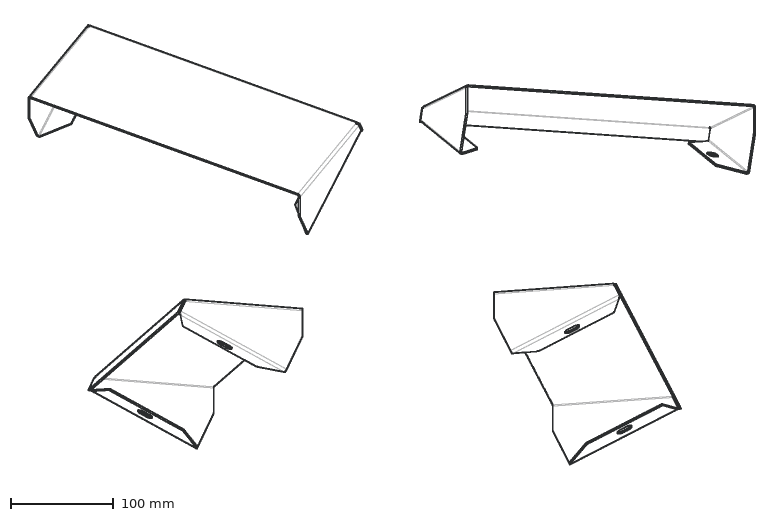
import cadquery as cq
import math


width = 300.8
depth = 127.0
height = 65.5
sheet = 1.8
outer_bend = 2.7
seam = 0.3
tilt = math.radians(25)
lip_drop = 14.5

foot_reach = 26.5
front_trim = foot_reach - outer_bend
rear_trim_start = 4.0
rear_trim_end = 14.5
slot_place = 58.0
slot_length = 15.5
slot_width = 9.0
slot_inset = 16.5

inner_bend = outer_bend - sheet
slope_run = (height - lip_drop) / math.tan(tilt)
slope_length = (height - lip_drop) / math.sin(tilt)
tip_y = depth - slope_run
front_edge_z = -height + tip_y / math.tan(tilt)
lip_top_y = depth - lip_drop * math.tan(tilt)
bend_setback = outer_bend * math.tan((math.pi / 2 - tilt) / 2)


def along_slope(distance, rise=0.0):
    """(Y, Z) at a distance forward of the lip tip and a rise square to the slope."""
    return (
        depth - distance * math.cos(tilt) - rise * math.sin(tilt),
        -lip_drop - distance * math.sin(tilt) + rise * math.cos(tilt),
    )


def side_prism(points, prism_width):
    """Extrude a YZ outline symmetrically about X = 0."""
    return cq.Workplane("YZ").polyline(points).close().extrude(prism_width / 2, both=True)


def make_top_and_walls():
    """Inverted U, trimmed to the side outline in front of the lip."""
    outer = cq.Workplane("XY").box(width, depth, 2 * height, centered=(True, False, True))
    outer = outer.translate((0, 0, -height)).edges("|Y and >Z").fillet(outer_bend)
    inner = cq.Workplane("XY").box(width - 2 * sheet, depth, 2 * height, centered=(True, False, True))
    inner = inner.translate((0, 0, -height - sheet)).edges("|Y and >Z").fillet(inner_bend)

    clearance = sheet + seam
    rear_top_y = lip_top_y - clearance / math.cos(tilt)
    outline = side_prism(
        [
            (0, 0),
            (rear_top_y, 0),
            along_slope(clearance, outer_bend),
            along_slope(slope_length, outer_bend),
            (0, front_edge_z),
        ],
        width,
    )
    return outer.cut(inner).intersect(outline)


def make_lip():
    """Rear part of the top plate folded down into the lip."""
    lip_length = lip_drop / math.cos(tilt)
    plate_start_y = lip_top_y - 2 * bend_setback
    inner_corner_y = lip_top_y + sheet * math.tan(tilt) - sheet / math.cos(tilt)
    outer_corner = cq.NearestToPointSelector((0, lip_top_y, 0))
    inner_corner = cq.NearestToPointSelector((0, inner_corner_y, -sheet))
    folded = side_prism(
        [
            (plate_start_y, 0),
            (lip_top_y, 0),
            (depth, -lip_drop),
            along_slope(sheet),
            (inner_corner_y, -sheet),
            (plate_start_y, -sheet),
        ],
        width - 2 * outer_bend,
    )
    folded = folded.edges(outer_corner).fillet(outer_bend)
    folded = folded.edges(inner_corner).fillet(inner_bend)

    flat_height = lip_length - bend_setback
    flat = side_prism(
        [
            along_slope(0),
            along_slope(sheet),
            along_slope(sheet, flat_height),
            along_slope(0, flat_height),
        ],
        width,
    )
    return folded.union(flat)


def make_left_foot():
    """L-fold running along the sloping lower edge of the left wall."""
    section_plane = cq.Plane(
        origin=(-width / 2, depth, -lip_drop),
        xDir=(1, 0, 0),
        normal=(0, -math.cos(tilt), -math.sin(tilt)),
    )
    foot = (
        cq.Workplane(section_plane)
        .moveTo(0, outer_bend)
        .radiusArc((outer_bend, 0), -outer_bend)
        .lineTo(foot_reach, 0)
        .lineTo(foot_reach, sheet)
        .lineTo(outer_bend, sheet)
        .radiusArc((sheet, outer_bend), inner_bend)
        .close()
        .extrude(slope_length)
    )

    foot_plane = cq.Plane(
        origin=section_plane.origin.toTuple(),
        xDir=(1, 0, 0),
        normal=(0, -math.sin(tilt), math.cos(tilt)),
    )
    outline = (
        cq.Workplane(foot_plane)
        .polyline(
            [
                (0, -sheet - seam),
                (sheet, -sheet - seam),
                (outer_bend, -rear_trim_start),
                (foot_reach, -rear_trim_end),
                (foot_reach, front_trim - slope_length),
                (outer_bend, -slope_length),
                (0, -slope_length),
            ]
        )
        .close()
        .extrude(outer_bend)
    )
    slot = (
        cq.Workplane(foot_plane)
        .center(slot_inset, -slot_place)
        .slot2D(slot_length, slot_width, 90)
        .extrude(sheet)
    )
    return foot.intersect(outline).cut(slot)


left_foot = make_left_foot()
right_foot = left_foot.mirror("YZ")
result = make_top_and_walls().union(make_lip()).union(left_foot).union(right_foot)